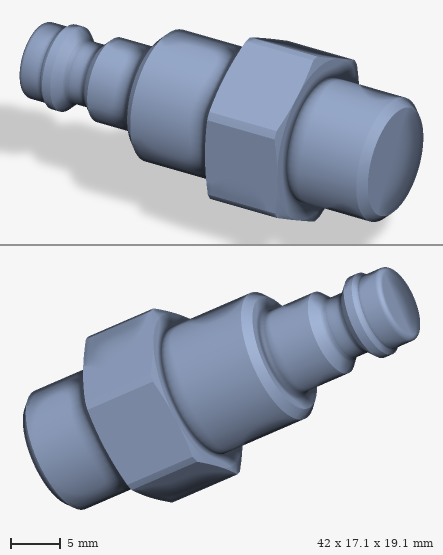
import cadquery as cq
import math

length = 42.0
collar_start = 2.6
collar_ramp_end = 3.1
collar_end = 4.07
neck_end = 8.4
body_start = 14.03
hex_start = 24.5
hex_end = 32.95

tip_diameter = 8.1
plug_diameter = 9.0
groove_diameter = 6.65
body_diameter = 14.0
rear_diameter = 13.15
rear_face_diameter = 11.45

tip_fillet = 0.55
groove_fillet = 0.5
shoulder_fillet = 0.5
body_chamfer = 0.85
rear_chamfer_length = 0.9

hex_across_flats = 17.0
hex_corner_diameter = 19.15
hex_chamfer_length = 0.3
hex_turn = 0.8

tip_radius = tip_diameter / 2
plug_radius = plug_diameter / 2
groove_radius = groove_diameter / 2
body_radius = body_diameter / 2
rear_radius = rear_diameter / 2
groove_depth = plug_radius - groove_radius


def revolve_profile(points):
    """Revolve a closed (x, radius) outline about the X axis."""
    return cq.Workplane("XY").polyline(points).close().revolve(360, (0, 0), (1, 0))


def fillet_ring(solid, x, radius, fillet):
    """Round the circular edge of the given radius centred at x on the axis."""
    tolerance = 0.005
    ring = cq.selectors.BoxSelector(
        (x - tolerance, -radius - tolerance, -radius - tolerance),
        (x + tolerance, radius + tolerance, radius + tolerance),
        boundingbox=True,
    )
    return solid.edges("%CIRCLE").edges(ring).fillet(fillet)


def make_turned_body():
    """Plug tip, locking groove, main body and rear spigot."""
    groove_floor_start = collar_end + groove_depth
    groove_floor_end = neck_end - groove_depth
    body = revolve_profile([
        (0, 0),
        (0, tip_radius),
        (collar_start, tip_radius),
        (collar_ramp_end, plug_radius),
        (collar_end, plug_radius),
        (groove_floor_start, groove_radius),
        (groove_floor_end, groove_radius),
        (neck_end, plug_radius),
        (body_start, plug_radius),
        (body_start, body_radius - body_chamfer),
        (body_start + body_chamfer, body_radius),
        (hex_end, body_radius),
        (hex_end, rear_radius),
        (length - rear_chamfer_length, rear_radius),
        (length, rear_face_diameter / 2),
        (length, 0),
    ])
    body = fillet_ring(body, 0, tip_radius, tip_fillet)
    body = fillet_ring(body, groove_floor_start, groove_radius, groove_fillet)
    body = fillet_ring(body, groove_floor_end, groove_radius, groove_fillet)
    return fillet_ring(body, body_start, plug_radius, shoulder_fillet)


def make_hexagon():
    """Wrench hexagon with turned corners and conical chamfers at both ends."""
    prism = (
        cq.Workplane("YZ", origin=(hex_start, 0, 0))
        .polygon(6, hex_across_flats / math.cos(math.pi / 6))
        .extrude(hex_end - hex_start)
        .rotate((0, 0, 0), (1, 0, 0), 90 + hex_turn)
    )
    face_radius = hex_across_flats / 2
    corner_radius = hex_corner_diameter / 2
    envelope = revolve_profile([
        (hex_start, 0),
        (hex_start, face_radius),
        (hex_start + hex_chamfer_length, corner_radius),
        (hex_end - hex_chamfer_length, corner_radius),
        (hex_end, face_radius),
        (hex_end, 0),
    ])
    return prism.intersect(envelope)


result = make_turned_body().union(make_hexagon())